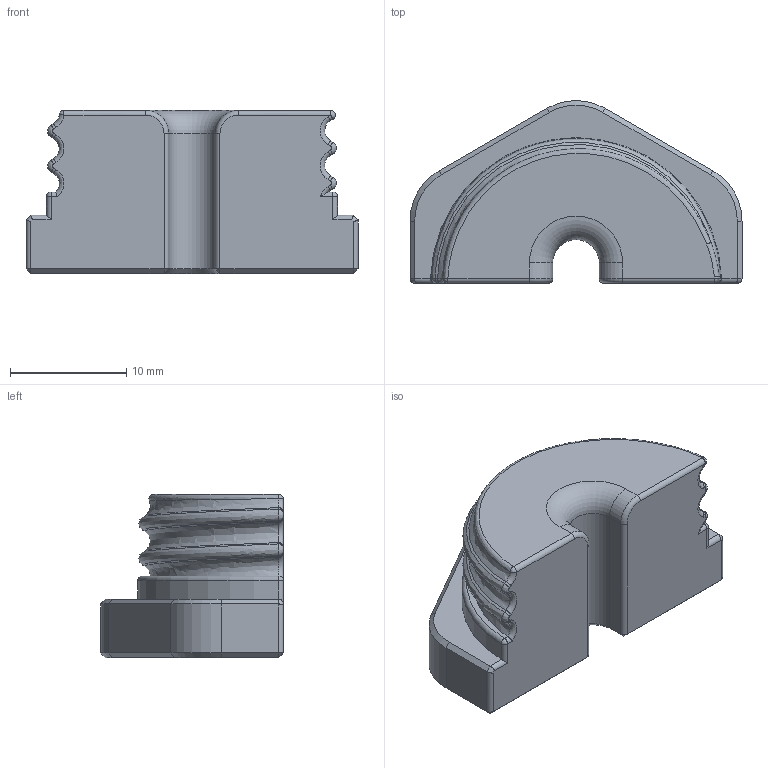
import cadquery as cq
import math

FLANGE_WIDTH = 28.5
FLANGE_HEIGHT = 5.0
FLANGE_CORNER_RADIUS = 5.0

COLLAR_RADIUS = 12.5
COLLAR_TOP = 7.0

TOTAL_HEIGHT = 14.0
NECK_BOTTOM = COLLAR_TOP - 1.0
CORE_RADIUS = 10.0
CORE_POCKET_RADIUS = 9.0

PITCH = 3.0
CREST_RADIUS = 12.4
ROOT_RADIUS = 11.4
CREST_ARC_RADIUS = 0.6
FLANK_ANGLE = math.radians(60)
CREST_HEIGHT_AT_PLUS_X = 10.75
CREST_COUNT = 7
OVERRUN_ANGLE = 10.0
BAND_INNER_RADIUS = 8.0

SLOT_RADIUS = 2.0
SLOT_CENTRE_Y = 1.75
SLOT_MOUTH_RADIUS = 2.0

EDGE_SIZE = 0.4
BOTTOM_CHAMFER = EDGE_SIZE - 0.001

TOLERANCE = 0.01


def keep_rear_half(solid):
    """Keep only the part of the solid with Y >= 0."""
    span = 2 * FLANGE_WIDTH
    rear_block = cq.Workplane("XY").box(span, span, span).translate((0, span / 2, 0))
    return solid.intersect(rear_block)


def half_cylinder(radius, bottom, top):
    cylinder = cq.Workplane("XY").workplane(offset=bottom).circle(radius).extrude(top - bottom)
    return keep_rear_half(cylinder)


def front_edges(solid, above):
    """Edges of the flat front face whose middle lies higher than the given height."""
    return [e for e in solid.faces("<Y").edges().vals() if e.Center().z > above + TOLERANCE]


def make_flange():
    across_corners = FLANGE_WIDTH / math.cos(math.pi / 6)
    hexagon = cq.Workplane("XY").polygon(6, across_corners).extrude(FLANGE_HEIGHT)
    hexagon = hexagon.rotate((0, 0, 0), (0, 0, 1), 30)
    hexagon = hexagon.edges("|Z").fillet(FLANGE_CORNER_RADIUS)
    hexagon = hexagon.faces(">Z").edges().chamfer(EDGE_SIZE)
    flange = keep_rear_half(hexagon)
    return flange.newObject(front_edges(flange, 0)).fillet(EDGE_SIZE)


def make_collar():
    collar = half_cylinder(COLLAR_RADIUS, 0, COLLAR_TOP)
    return collar.faces(">Z or <Y").edges("not <Z").fillet(EDGE_SIZE)


def make_slot():
    round_end = cq.Workplane("XY").circle(SLOT_RADIUS).extrude(TOTAL_HEIGHT)
    opening = cq.Workplane("XY").rect(2 * SLOT_RADIUS, 2 * SLOT_CENTRE_Y).extrude(TOTAL_HEIGHT)
    opening = opening.translate((0, -SLOT_CENTRE_Y, 0))
    return round_end.union(opening).translate((0, SLOT_CENTRE_Y, 0))


def make_thread_profile(lowest_crest):
    """Axial section of the thread, one crest and one root per pitch, closed at its inner side."""
    sin_flank = math.sin(FLANK_ANGLE)
    cos_flank = math.cos(FLANK_ANGLE)
    depth = CREST_RADIUS - ROOT_RADIUS

    arc_sum = (PITCH / 2 * sin_flank - depth * cos_flank) / (1 - cos_flank)
    root_arc_radius = arc_sum - CREST_ARC_RADIUS

    crest_end_r = CREST_RADIUS - CREST_ARC_RADIUS * (1 - cos_flank)
    crest_end_z = CREST_ARC_RADIUS * sin_flank
    root_end_r = ROOT_RADIUS + root_arc_radius * (1 - cos_flank)
    root_end_z = root_arc_radius * sin_flank

    lowest_root = lowest_crest - PITCH / 2
    lowest_z = lowest_root + root_end_z
    profile = cq.Workplane("XZ").moveTo(BAND_INNER_RADIUS, lowest_z).lineTo(root_end_r, lowest_z)
    for turn in range(CREST_COUNT):
        crest = lowest_crest + turn * PITCH
        root_above = crest + PITCH / 2
        profile = (
            profile
            .lineTo(crest_end_r, crest - crest_end_z)
            .threePointArc((CREST_RADIUS, crest), (crest_end_r, crest + crest_end_z))
            .lineTo(root_end_r, root_above - root_end_z)
            .threePointArc((ROOT_RADIUS, root_above), (root_end_r, root_above + root_end_z))
        )
    return profile.lineTo(BAND_INNER_RADIUS, lowest_z + CREST_COUNT * PITCH).close()


def make_thread_band():
    """Threaded ring: the whole wavy section swept along a helix for a little over half a turn."""
    start_drop = PITCH * OVERRUN_ANGLE / 360
    lowest_crest = CREST_HEIGHT_AT_PLUS_X - start_drop - PITCH * (CREST_COUNT // 2)
    sweep_angle = 180 + 2 * OVERRUN_ANGLE
    helix = cq.Wire.makeHelix(PITCH, PITCH * sweep_angle / 360, ROOT_RADIUS)
    band = make_thread_profile(lowest_crest).sweep(cq.Workplane(obj=helix), isFrenet=True)
    band = band.rotate((0, 0, 0), (0, 0, 1), -OVERRUN_ANGLE)
    return band.intersect(half_cylinder(COLLAR_RADIUS, NECK_BOTTOM, TOTAL_HEIGHT))


def round_slot_mouth(neck):
    slot_reach = SLOT_CENTRE_Y + SLOT_RADIUS + TOLERANCE
    mouth = cq.selectors.BoxSelector(
        (-SLOT_RADIUS - TOLERANCE, TOLERANCE, TOTAL_HEIGHT - TOLERANCE),
        (SLOT_RADIUS + TOLERANCE, slot_reach, TOTAL_HEIGHT + TOLERANCE),
    )
    return neck.edges(mouth).fillet(SLOT_MOUTH_RADIUS)


def round_neck_edges(neck):
    """Round the outer top rim, the slot's front edges and the front edges of the thread together."""
    rim = neck.faces(">Z").edges("not %LINE").edges("not %CIRCLE").vals()
    top_rim = [e for e in rim if e.Center().y > TOLERANCE]
    upper_front = [
        e for e in front_edges(neck, 0)
        if e.Center().z > NECK_BOTTOM + TOLERANCE or abs(e.Center().x) < SLOT_RADIUS + TOLERANCE
    ]
    return neck.newObject(top_rim + upper_front).fillet(EDGE_SIZE)


def make_neck():
    """Threaded neck with its slotted core, which runs down through collar and flange."""
    neck = half_cylinder(CORE_RADIUS, 0, TOTAL_HEIGHT).union(make_thread_band())
    neck = neck.cut(make_slot())
    neck = round_slot_mouth(neck)
    return round_neck_edges(neck)


def make_part():
    core_pocket = half_cylinder(CORE_POCKET_RADIUS, 0, COLLAR_TOP)
    base = make_flange().union(make_collar()).cut(core_pocket)
    body = base.union(make_neck()).clean()
    return body.faces("<Z").edges().chamfer(BOTTOM_CHAMFER)


result = make_part()